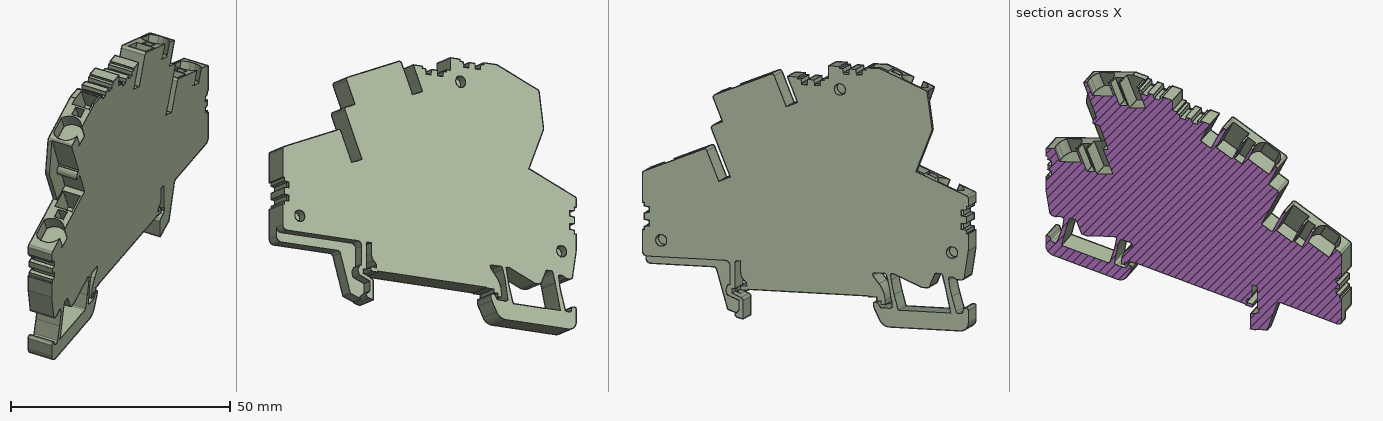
import cadquery as cq
import math

LENGTH = 77.9
HEIGHT = 59.7
THICKNESS = 6.1
END = LENGTH / 2
COVER = 1.0

TILT = math.radians(22.3)
ENTRY_RADIUS = 3.3
ENTRY_X = THICKNESS / 2
ENTRY_FLAT_X = 0.5
ENTRY_RIM_FLAT = 1.25
ENTRY_DEPTH = 3.6
TEST_HOLE_X = 3.5
TEST_HOLE_WIDTH = 2.25
TEST_HOLE_LENGTH = 2.1
TEST_HOLE_OFFSET = 4.75
TEST_HOLE_DEPTH = 6.2
POCKET_X = 3.4
POCKET_WIDTH = 4.4
POCKET_LENGTH = 4.45
POCKET_OFFSET = 8.5
POCKET_DEPTH = 6.85
TOOL_CLEARANCE = 3.9
CORNER_RADIUS = 0.6

MARKER_LENGTH = 6.3
MARKER_STEP = 0.5
GROOVE_PITCH = 3.1
GROOVE_MOUTH = 1.6
GROOVE_FLOOR = 1.3
GROOVE_DEPTH = 1.4
LIP_DROP = 0.3
LIP_FLAT = 0.5
LIP_END = 0.8

UPPER_STEP_Z = 56.8
TOP_STEP_Y = -5.5
BASE_Z = 6.9
LEDGE_Z = 12.4
SLOT_TOP_Z = 13.4

PIN_RADIUS = 1.3
PIN_DEPTH = 2.3
PIN_CENTRES = [(34.4, 17.2), (-8.25, 54.4), (-35.05, 18.1)]

FLANGE_X = 2.7
FLANGE_Z = 11.2

LOW_OUTER_Z = 32.9
LOW_FACE_LENGTH = 16.4
LOW_SLOT_DEPTH = 8.1
LOW_SLOT_WIDTH = 2.95
LOW_SLOT_INNER_WALL = 12.45
RIDGE_WIDTH = 3.1
HIGH_STEP = 6.4
HIGH_FACE_LENGTH = 15.7
HIGH_SLOT_DEPTH = 8.2
HIGH_SLOT_WIDTH = 2.9

SHELF_Y = -22.6
KNOB_TOP_Z = 46.1
KNOB_SHOULDER_Z = 45.7
KNOB_BOTTOM_Z = 43.9
KNOB_LEDGE = 0.3
KNOB_REACH = 1.7


def along(start, up_slope, outward):
    """Moves from a (y, z) point up the +Y terminal slope and outward along its normal."""
    y, z = start
    return (
        y - up_slope * math.cos(TILT) + outward * math.sin(TILT),
        z + up_slope * math.sin(TILT) + outward * math.cos(TILT),
    )


def rounded_face(corners, start_x):
    """Draws a closed Y-Z outline at start_x from (y, z) or (y, z, radius) corners."""
    sketch = None
    count = len(corners)
    for i in range(count):
        y, z = corners[i][:2]
        radius = corners[i][2] if len(corners[i]) == 3 else 0
        stops = [(y, z)]
        if radius:
            before = cq.Vector(*corners[i - 1][:2])
            after = cq.Vector(*corners[(i + 1) % count][:2])
            here = cq.Vector(y, z)
            back = (before - here).normalized()
            ahead = (after - here).normalized()
            half = back.getAngle(ahead) / 2
            reach = radius / math.tan(half)
            bisector = (back + ahead).normalized()
            middle = here + bisector * (radius / math.sin(half) - radius)
            stops = [(p.x, p.y) for p in (here + back * reach, middle, here + ahead * reach)]
        if sketch is None:
            sketch = cq.Workplane("YZ", origin=(start_x, 0, 0)).moveTo(*stops[0])
        else:
            sketch = sketch.lineTo(*stops[0])
        if radius:
            sketch = sketch.threePointArc(stops[1], stops[2])
    return sketch.close()


low_outer = (END, LOW_OUTER_Z)
low_tip = along(low_outer, LOW_FACE_LENGTH, 0)
low_slot_outer = along(low_tip, 0, -LOW_SLOT_DEPTH)
low_slot_inner = along(low_slot_outer, LOW_SLOT_WIDTH, 0)
ridge = along(low_slot_inner, 0, LOW_SLOT_INNER_WALL)
notch = along(ridge, RIDGE_WIDTH, 0)
high_outer = along(notch, 0, HIGH_STEP)
high_tip = along(high_outer, HIGH_FACE_LENGTH, 0)
high_slot_outer = along(high_tip, 0, -HIGH_SLOT_DEPTH)
high_slot_inner = along(high_slot_outer, HIGH_SLOT_WIDTH, 0)
high_slot_rim = along(high_slot_inner, 0, (UPPER_STEP_Z - high_slot_inner[1]) / math.cos(TILT))

nose_top = (-29.05, 55.15)
brow_y = nose_top[0] + (HEIGHT - nose_top[1]) / math.tan(TILT)
far_outer = (-END, 31.2)
inner_corner_y = -26.4
inner_corner = (inner_corner_y, far_outer[1] + (inner_corner_y + END) * math.tan(TILT))
shelf_corner = (SHELF_Y, inner_corner[1] + (SHELF_Y - inner_corner_y) * math.tan(TILT))


def body():
    """Side profile of the housing with both rail feet, extruded through the thickness."""
    left_side = [
        (END, SLOT_TOP_Z, 1.2),
        (*low_outer, CORNER_RADIUS),
        (*low_tip, CORNER_RADIUS),
        low_slot_outer,
        low_slot_inner,
        (*ridge, CORNER_RADIUS),
        notch,
        (*high_outer, CORNER_RADIUS),
        (*high_tip, CORNER_RADIUS),
        high_slot_outer,
        high_slot_inner,
        high_slot_rim,
    ]
    top = [
        (TOP_STEP_Y, UPPER_STEP_Z),
        (TOP_STEP_Y, HEIGHT),
        (brow_y, HEIGHT),
        (*nose_top, CORNER_RADIUS),
    ]
    right_side = [
        (-30.3, 46.2, 1.55),
        inner_corner,
        (*far_outer, CORNER_RADIUS),
        (-END, 18.7),
        (-37.85, 11.75, 0.8),
        (-36.3, 11.8),
        (-35.2, LEDGE_Z),
    ]
    foot = [
        (-34.2, LEDGE_Z, 0.4),
        (-34.5, 9.7, 23.4),
        (-36.1, 4.05, 0.5),
        (-37.45, 4.05, 0.5),
        (-37.85, 5.4, 0.3),
        (-END, 5.4, 0.5),
        (-END, 0, 1.95),
        (-18.5, 0, 2.7),
        (-16.3, 4.5, 2.3),
        (-16.3, 5.6, 0.3),
        (-17.3, 5.6, 0.3),
        (-18.0, 4.4, 0.5),
        (-20.9, 4.4, 0.6),
        (-19.9, 10.1, 23.4),
        (-19.2, LEDGE_Z, 0.6),
        (-15.6, LEDGE_Z, 0.5),
        (-19.0, 8.25, 6.2),
        (-19.1, 5.15),
        (-18.15, 5.15),
        (-18.15, 5.9),
        (-17.05, 5.9),
        (-17.05, 6.8),
        (-15.1, 6.8),
        (-15.1, BASE_Z),
    ]
    rail_hook = [
        (13.7, BASE_Z),
        (13.7, 6.7),
        (15.5, 6.7, 0.3),
        (15.5, 7.7),
        (14.0, 7.7),
        (14.0, 8.3),
        (15.4, 9.9, 2.3),
        (15.4, SLOT_TOP_Z),
        (16.75, SLOT_TOP_Z, 0.4),
        (16.75, BASE_Z),
        (17.5, BASE_Z),
        (17.5, 5.9),
        (14.9, 4.75, 0.8),
        (14.9, 0),
    ]
    hook_back = [
        (16.3, 0.3, 0.3),
        (17.0, 0.9, 0.3),
        (15.8, 2.0),
        (15.8, 4.3),
        (18.7, 5.45, 0.6),
        (19.0, 6.6, 0.8),
        (18.5, 7.7),
        (18.0, 7.9),
        (18.0, SLOT_TOP_Z, 1.2),
    ]
    outline = left_side + top + right_side + foot + rail_hook + hook_back
    return rounded_face(outline, 0).extrude(THICKNESS)


def foot_window():
    """Opening between the two legs of the -Y foot."""
    outline = [
        (-20.3, LEDGE_Z, 0.3),
        (-21.2, LEDGE_Z, 0.5),
        (-27.9, 9.6, 0.5),
        (-29.5, 9.6, 0.6),
        (-31.0, 13.1, 0.4),
        (-32.6, 13.1, 0.6),
        (-33.3, 10.4, 7.8),
        (-34.7, 4.05),
        (-22.2, 4.05, 0.3),
        (-20.8, 9.3, 31.15),
    ]
    return rounded_face(outline, 0).extrude(THICKNESS)


def foot_flange():
    """Flange under the +Y end and behind the rail hook; its upper corners lie inside the body."""
    outline = [
        (END, FLANGE_Z, 1.25),
        (END, 15.6),
        (17.1, 15.6),
        (17.1, 5.9),
        (15.3, 4.7),
        (15.3, 0.15),
        (19.4, 1.55, 0.3),
        (22.2, FLANGE_Z, 0.8),
    ]
    return rounded_face(outline, FLANGE_X).extrude(THICKNESS - FLANGE_X)


def wall_y(z):
    """Y of the set-back wall at height z."""
    share = (z - shelf_corner[1]) / (nose_top[1] - shelf_corner[1])
    return shelf_corner[0] + share * (nose_top[0] - shelf_corner[0])


def setback():
    """Cutter that sets the wall between the -Y terminals back behind the side plate."""
    outline = [nose_top, shelf_corner, inner_corner, far_outer, (-END, nose_top[1])]
    return rounded_face(outline, COVER).extrude(THICKNESS - COVER)


def knob():
    """Rounded bar on the set-back wall, with a sloping top and a quarter-round front."""
    quarter_middle = math.sqrt(0.5)
    tip_y = wall_y(KNOB_BOTTOM_Z) - KNOB_REACH
    shoulder = (wall_y(KNOB_SHOULDER_Z) - KNOB_LEDGE, KNOB_SHOULDER_Z)
    rise = KNOB_SHOULDER_Z - KNOB_BOTTOM_Z
    run = shoulder[0] - tip_y
    bulge = (tip_y + run * (1 - quarter_middle), KNOB_BOTTOM_Z + rise * quarter_middle)
    profile = (
        cq.Workplane("YZ", origin=(COVER, 0, 0))
        .moveTo(SHELF_Y, KNOB_TOP_Z)
        .lineTo(wall_y(KNOB_TOP_Z), KNOB_TOP_Z)
        .lineTo(*shoulder)
        .threePointArc(bulge, (tip_y, KNOB_BOTTOM_Z))
        .lineTo(SHELF_Y, KNOB_BOTTOM_Z)
        .close()
    )
    return profile.extrude(THICKNESS - COVER)


def terminal(outer_corner, distance, side):
    """Cutters of one terminal; its entry lies `distance` up the slope from the outer corner."""
    y = outer_corner[0] - side * distance * math.cos(TILT)
    z = outer_corner[1] + distance * math.sin(TILT)
    normal = cq.Vector(0, side * math.sin(TILT), math.cos(TILT))
    plane = cq.Plane(origin=(0, y, z), xDir=(1, 0, 0), normal=normal)

    def floor_at(depth, x, offset):
        return cq.Workplane(plane).workplane(offset=-depth).center(x, -side * offset)

    def rectangle(x, offset, width, length, depth):
        return floor_at(depth, x, offset).rect(width, length).extrude(depth + TOOL_CLEARANCE)

    entry_width = 2 * ENTRY_RADIUS
    entry = floor_at(ENTRY_DEPTH, ENTRY_X, 0).circle(ENTRY_RADIUS).extrude(ENTRY_DEPTH + TOOL_CLEARANCE)
    side_flat = rectangle(ENTRY_FLAT_X - ENTRY_RADIUS, 0, entry_width, entry_width, ENTRY_DEPTH)
    rim_reach = math.sqrt(ENTRY_RADIUS**2 - (ENTRY_RIM_FLAT / 2) ** 2)
    rim_flat = rectangle(ENTRY_X, -rim_reach - ENTRY_RADIUS, entry_width, entry_width, ENTRY_DEPTH)
    entry = entry.cut(side_flat).cut(rim_flat)
    test_hole = rectangle(TEST_HOLE_X, TEST_HOLE_OFFSET, TEST_HOLE_WIDTH, TEST_HOLE_LENGTH, TEST_HOLE_DEPTH)
    pocket = rectangle(POCKET_X, POCKET_OFFSET, POCKET_WIDTH, POCKET_LENGTH, POCKET_DEPTH)
    return entry.union(test_hole).union(pocket)


def marker_recess(y, z, turn):
    """Cutter of a recess centred at (y, z) on a surface that faces up, turned about X by `turn`."""
    plan = cq.Workplane("YZ")
    cutter = plan.rect(MARKER_LENGTH, 2 * MARKER_STEP).extrude(THICKNESS)
    for centre in (-GROOVE_PITCH / 2, GROOVE_PITCH / 2):
        groove = (
            plan.moveTo(centre - GROOVE_MOUTH / 2, -MARKER_STEP)
            .lineTo(centre - GROOVE_FLOOR / 2, -GROOVE_DEPTH)
            .lineTo(centre + GROOVE_FLOOR / 2, -GROOVE_DEPTH)
            .lineTo(centre + GROOVE_MOUTH / 2, -MARKER_STEP)
            .close()
            .extrude(THICKNESS)
        )
        lip = (
            cq.Workplane("XZ", origin=(0, centre + GROOVE_FLOOR / 2, 0))
            .moveTo(0, -GROOVE_DEPTH)
            .lineTo(LIP_END, -GROOVE_DEPTH)
            .lineTo(LIP_FLAT, -GROOVE_DEPTH - LIP_DROP)
            .lineTo(0, -GROOVE_DEPTH - LIP_DROP)
            .close()
            .extrude(GROOVE_FLOOR)
        )
        cutter = cutter.union(groove).union(lip)
    return cutter.rotate((0, 0, 0), (1, 0, 0), turn).translate((0, y, z))


result = body().cut(foot_window()).union(foot_flange()).cut(setback()).union(knob())

TERMINALS = [
    (low_outer, 5.0, 1),
    (high_outer, 4.0, 1),
    (nose_top, 4.1, -1),
    (far_outer, 5.5, -1),
]
for corner, distance, side in TERMINALS:
    result = result.cut(terminal(corner, distance, side))

MARKERS = [
    (END, 22.6, -90),
    (-1.3, UPPER_STEP_Z, 0),
    (-11.3, HEIGHT, 0),
    (-END, 25.8, 90),
]
for y, z, turn in MARKERS:
    result = result.cut(marker_recess(y, z, turn))

pins = cq.Workplane("YZ").pushPoints(PIN_CENTRES).circle(PIN_RADIUS).extrude(PIN_DEPTH)
result = result.cut(pins)